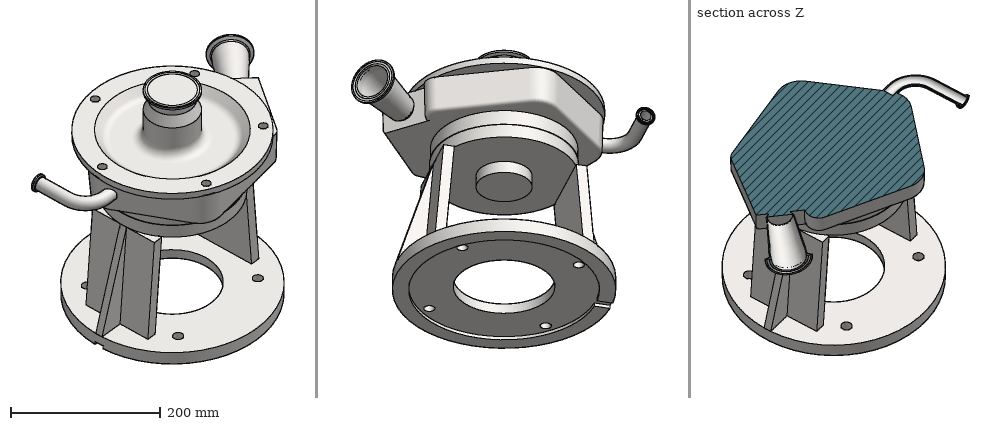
import cadquery as cq
import math

base_top_z = 20.0
ring_bottom_z = 179.3
ring_step_z = 199.5
volute_bottom_z = 221.5
volute_top_z = 274.0
flange_top_z = 283.8
neck_top_z = 319.0
reducer_top_z = 335.5
inlet_top_z = 353.0
hub_bottom_z = 162.0

base_radius = 150.0
base_bore_radius = 68.0
base_bolt_circle_radius = 115.0
base_hole_diameter = 15.0
base_hole_count = 4
base_first_hole_angle = 45
relief_radius = 128.0
relief_depth = 5.0
drain_width = 14.0

leg_width = 110.3
leg_thickness = 15.0
leg_top_y = 100.0
leg_foot_y = 113.0
rib_width = 11.0

lower_ring_radius = 100.0
upper_ring_radius = 99.0
hub_radius = 37.5

outlet_face_apex = (6.0, 168.0)
outlet_face_run = 46.5
outlet_face_foot = (outlet_face_apex[0] - outlet_face_run, outlet_face_apex[1] - outlet_face_run)
wide_corner_radius = 35.0
tight_corner_radius = 15.0
outlet_corner_radius = 19.0
volute_corners = [
    (outlet_face_apex, 0),
    (outlet_face_foot, 0),
    ((-62.0, 133.0), outlet_corner_radius),
    ((-140.0, -22.5), wide_corner_radius),
    ((-22.5, -140.0), wide_corner_radius),
    ((126.5, -65.3), wide_corner_radius),
    ((101.5, 98.7), tight_corner_radius),
]
volute_draft_angle = 1.3
volute_bottom_fillet = 5.0

flange_radius = 135.0
flange_bolt_circle_radius = 122.3
flange_hole_diameter = 13.0
flange_hole_count = 5
flange_first_hole_angle = 45
recess_depth = 15.0
recess_floor_radius = 83.5
recess_wall_angle = math.radians(45)
recess_fillet = 15.0
neck_radius = 39.2
inlet_pipe_radius = 32.2
inlet_rim_radius = 39.2

rim_thickness = 3.0
ferrule_length = 6.0
rim_undercut = 1.5
groove_depth = 1.2
groove_width = 3.5
groove_edge_land = 2.5

outlet_direction_angle = 45
outlet_axis_offset = 91.0
outlet_axis_z = 248.5
outlet_face_distance = (outlet_face_apex[1] - outlet_face_apex[0]) / math.sqrt(2)
outlet_root_overlap = 2.5
outlet_root_radius = 15.3
outlet_cone_start = 119.5
outlet_cone_start_radius = 19.0
outlet_cone_end = 183.0
outlet_pipe_radius = 25.0
outlet_end = 199.5
outlet_rim_radius = 32.2
outlet_wall = 1.5
outlet_bore_cone_end = 186.0
outlet_bore_step = 173.0
outlet_bore_step_radius = 22.0

elbow_axis_y = -172.2
elbow_axis_z = 250.5
elbow_bend_radius = 35.0
elbow_pipe_radius = 10.0
elbow_bore_radius = 7.5
elbow_end_x = -89.5
elbow_root_y = -124.0
elbow_rim_radius = 13.0
elbow_ferrule_length = 5.0
elbow_groove_width = 2.0
elbow_groove_edge_land = 1.5


def cylinder(radius, bottom_z, top_z):
    return cq.Workplane("XY").workplane(offset=bottom_z).circle(radius).extrude(top_z - bottom_z)


def revolve_about_z(profile):
    """Revolve a closed profile of (radius, height) drawn on the XZ plane."""
    return profile.close().revolve(360, (0, 0, 0), (0, 1, 0))


def ferrule_outline(
    profile, end, pipe_radius, rim_radius, length=ferrule_length, land=groove_edge_land, groove=groove_width
):
    """Continue a profile from the pipe wall, round the clamp rim and over its gasket groove to the axis."""
    groove_outer = rim_radius - land
    groove_inner = groove_outer - groove
    groove_middle = (groove_outer + groove_inner) / 2
    return (
        profile.lineTo(pipe_radius, end - length)
        .lineTo(pipe_radius + rim_undercut, end - rim_thickness - rim_undercut)
        .lineTo(rim_radius, end - rim_thickness)
        .lineTo(rim_radius, end)
        .lineTo(groove_outer, end)
        .threePointArc((groove_middle, end - groove_depth), (groove_inner, end))
        .lineTo(0, end)
    )


def make_base():
    plate = cylinder(base_radius, 0, base_top_z).cut(cylinder(base_bore_radius, 0, base_top_z))
    holes = (
        cq.Workplane("XY")
        .polarArray(base_bolt_circle_radius, base_first_hole_angle, 360, base_hole_count)
        .circle(base_hole_diameter / 2)
        .extrude(base_top_z)
    )
    relief = cylinder(relief_radius, 0, relief_depth)
    drain = cq.Workplane("XY").box(drain_width, base_radius, relief_depth, centered=(True, False, False))
    return plate.cut(holes).cut(relief).cut(drain.translate((0, -base_radius, 0)))


def leg_slab(foot_y, width):
    """Slab with the leg's leaning inner face, whose outer face runs from foot_y up to the ring."""
    return (
        cq.Workplane("YZ")
        .moveTo(leg_foot_y - leg_thickness, base_top_z)
        .lineTo(foot_y, base_top_z)
        .lineTo(leg_top_y, ring_bottom_z)
        .lineTo(leg_top_y - leg_thickness, ring_bottom_z)
        .close()
        .extrude(width / 2, both=True)
    )


def make_leg():
    """Leaning plate with a triangular rib reaching the base rim, on the +Y side."""
    return leg_slab(leg_foot_y, leg_width).union(leg_slab(base_radius, rib_width))


def make_volute():
    height = volute_top_z - volute_bottom_z
    inset = height * math.tan(math.radians(volute_draft_angle))
    top_outline = (
        cq.Workplane("XY", origin=(0, 0, volute_top_z))
        .polyline([point for point, radius in volute_corners])
        .close()
    )
    bottom_outline = top_outline.offset2D(-inset, "intersection").translate((0, 0, -height))
    outlines = [top_outline.val(), bottom_outline.val()]
    casing = cq.Workplane(cq.Solid.makeLoft(outlines, ruled=True))
    for (x, y), radius in volute_corners:
        if radius > 0:
            corner = cq.selectors.NearestToPointSelector((x, y, volute_top_z - height / 2))
            casing = casing.edges(corner).fillet(radius)
    face_middle_x = (outlet_face_apex[0] + outlet_face_foot[0]) / 2
    face_middle_y = (outlet_face_apex[1] + outlet_face_foot[1]) / 2
    outlet_edge = cq.selectors.NearestToPointSelector((face_middle_x, face_middle_y, volute_bottom_z))
    other_edges = cq.selectors.InverseSelector(outlet_edge)
    return casing.faces("<Z").edges(other_edges).fillet(volute_bottom_fillet)


def make_recess():
    """Annular dish sunk into the flange, rounded at the neck and at the sloping outer wall."""
    floor_z = flange_top_z - recess_depth
    half_angle = recess_wall_angle / 2
    wall_foot_radius = recess_floor_radius + recess_fillet * math.sin(recess_wall_angle)
    wall_foot_z = floor_z + recess_fillet * (1 - math.cos(recess_wall_angle))
    wall_top_radius = wall_foot_radius + (flange_top_z - wall_foot_z) / math.tan(recess_wall_angle)
    neck_arc_middle = recess_fillet * (1 - math.sqrt(0.5))
    return revolve_about_z(
        cq.Workplane("XZ")
        .moveTo(neck_radius, flange_top_z)
        .threePointArc(
            (neck_radius + neck_arc_middle, floor_z + neck_arc_middle),
            (neck_radius + recess_fillet, floor_z),
        )
        .lineTo(recess_floor_radius, floor_z)
        .threePointArc(
            (
                recess_floor_radius + recess_fillet * math.sin(half_angle),
                floor_z + recess_fillet * (1 - math.cos(half_angle)),
            ),
            (wall_foot_radius, wall_foot_z),
        )
        .lineTo(wall_top_radius, flange_top_z)
    )


def make_flange_holes():
    return (
        cq.Workplane("XY", origin=(0, 0, volute_top_z))
        .polarArray(flange_bolt_circle_radius, flange_first_hole_angle, 360, flange_hole_count)
        .circle(flange_hole_diameter / 2)
        .extrude(flange_top_z - volute_top_z)
    )


def make_inlet_neck():
    profile = (
        cq.Workplane("XZ")
        .moveTo(0, volute_top_z)
        .lineTo(neck_radius, volute_top_z)
        .lineTo(neck_radius, neck_top_z)
        .lineTo(inlet_pipe_radius, reducer_top_z)
    )
    return revolve_about_z(ferrule_outline(profile, inlet_top_z, inlet_pipe_radius, inlet_rim_radius))


def place_outlet(body):
    """Turn a body built along +Z onto the outlet axis."""
    offset = outlet_axis_offset / math.sqrt(2)
    turned = body.rotate((0, 0, 0), (1, 0, 0), -90).rotate((0, 0, 0), (0, 0, 1), outlet_direction_angle)
    return turned.translate((offset, offset, outlet_axis_z))


def make_outlet_pipe():
    profile = (
        cq.Workplane("XZ")
        .moveTo(0, outlet_face_distance - outlet_root_overlap)
        .lineTo(outlet_root_radius, outlet_face_distance - outlet_root_overlap)
        .lineTo(outlet_root_radius, outlet_face_distance)
        .lineTo(outlet_cone_start_radius, outlet_cone_start)
        .lineTo(outlet_pipe_radius, outlet_cone_end)
    )
    return place_outlet(
        revolve_about_z(ferrule_outline(profile, outlet_end, outlet_pipe_radius, outlet_rim_radius))
    )


def make_outlet_bore():
    root_bore = outlet_cone_start_radius - outlet_wall
    end_bore = outlet_pipe_radius - outlet_wall
    profile = (
        cq.Workplane("XZ")
        .moveTo(0, outlet_cone_start)
        .lineTo(root_bore, outlet_cone_start)
        .lineTo(outlet_bore_step_radius, outlet_bore_step)
        .lineTo(end_bore, outlet_bore_cone_end)
        .lineTo(end_bore, outlet_end)
        .lineTo(0, outlet_end)
    )
    return place_outlet(revolve_about_z(profile))


def sweep_elbow(radius):
    """Round bar from the volute wall, through a quarter bend, to the open end on the -X side."""
    bend_middle = elbow_bend_radius * (1 - math.sqrt(0.5))
    path = (
        cq.Workplane("XY", origin=(0, 0, elbow_axis_z))
        .moveTo(0, elbow_root_y)
        .lineTo(0, elbow_axis_y + elbow_bend_radius)
        .threePointArc((-bend_middle, elbow_axis_y + bend_middle), (-elbow_bend_radius, elbow_axis_y))
        .lineTo(elbow_end_x, elbow_axis_y)
    )
    return cq.Workplane("XZ", origin=(0, elbow_root_y, elbow_axis_z)).circle(radius).sweep(path)


def make_elbow_rim():
    outline = ferrule_outline(
        cq.Workplane("XZ").moveTo(0, -elbow_ferrule_length),
        0,
        elbow_pipe_radius,
        elbow_rim_radius,
        elbow_ferrule_length,
        elbow_groove_edge_land,
        elbow_groove_width,
    )
    rim = revolve_about_z(outline)
    return rim.rotate((0, 0, 0), (0, 1, 0), -90).translate((elbow_end_x, elbow_axis_y, elbow_axis_z))


leg = make_leg()
solids = [
    leg,
    leg.mirror("XZ"),
    cylinder(lower_ring_radius, ring_bottom_z, ring_step_z),
    cylinder(upper_ring_radius, ring_step_z, volute_bottom_z),
    cylinder(hub_radius, hub_bottom_z, ring_bottom_z),
    make_volute(),
    cylinder(flange_radius, volute_top_z, flange_top_z),
    make_outlet_pipe(),
    sweep_elbow(elbow_pipe_radius),
    make_elbow_rim(),
]
body = make_base()
for solid in solids:
    body = body.union(solid)

body = body.cut(make_recess()).union(make_inlet_neck())
for void in (make_flange_holes(), make_outlet_bore(), sweep_elbow(elbow_bore_radius)):
    body = body.cut(void)

result = body